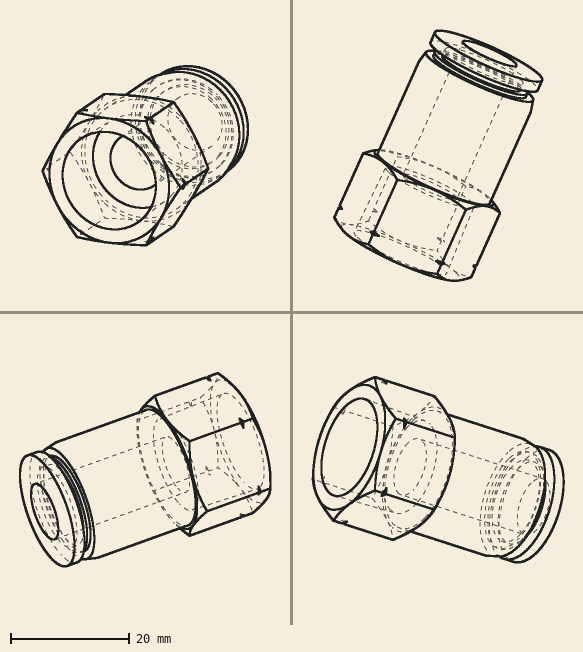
import cadquery as cq
import math

total_length = 37.45

across_flats = 22.0
across_corners = across_flats / math.cos(math.radians(30))
hex_length = 14.05
corner_chamfer_angle = 30.0

groove_position = 3.0
groove_depth = 0.5
groove_width = 0.5

body_radius = 10.4
body_bevel_start = 31.2
body_end = 33.18
body_end_radius = 9.95

collar_radius = 8.58
collar_end = 33.8
neck_radius = 7.23
button_radius = 9.95
button_start = 35.05
button_rim_end = 36.95
button_face_radius = 6.95

socket_mouth_radius = 8.58
socket_depth = 12.35
socket_taper = 1 / 16
socket_floor_radius = socket_mouth_radius - socket_depth * socket_taper / 2
bore_radius = 4.98


def turned(points):
    """Revolve a closed (radius, Y) outline about the Y axis."""
    return cq.Workplane("XY").polyline(points).close().revolve(360, (0, 0, 0), (0, 1, 0))


def hex_nut():
    """Hexagon with corners on X, both ends chamfered and a V groove across its corners."""
    corner_radius = across_corners / 2
    flat_radius = across_flats / 2
    chamfer_depth = (corner_radius - flat_radius) * math.tan(math.radians(corner_chamfer_angle))
    prism = cq.Workplane("XZ").polygon(6, across_corners).extrude(-hex_length)
    envelope = turned([
        (0, 0),
        (flat_radius, 0),
        (corner_radius, chamfer_depth),
        (corner_radius, groove_position - groove_width / 2),
        (corner_radius - groove_depth, groove_position),
        (corner_radius, groove_position + groove_width / 2),
        (corner_radius, hex_length - chamfer_depth),
        (flat_radius, hex_length),
        (0, hex_length),
    ])
    return prism.intersect(envelope)


def body_and_button():
    """Round body with a bevelled end, collar, neck and release button."""
    return turned([
        (0, hex_length),
        (body_radius, hex_length),
        (body_radius, body_bevel_start),
        (body_end_radius, body_end),
        (collar_radius, body_end),
        (collar_radius, collar_end),
        (neck_radius, collar_end),
        (neck_radius, button_start),
        (button_radius, button_start),
        (button_radius, button_rim_end),
        (button_face_radius, total_length),
        (0, total_length),
    ])


def passage():
    """Tapered socket leading into the plain through bore."""
    return turned([
        (0, 0),
        (socket_mouth_radius, 0),
        (socket_floor_radius, socket_depth),
        (bore_radius, socket_depth),
        (bore_radius, total_length),
        (0, total_length),
    ])


result = hex_nut().union(body_and_button()).cut(passage())